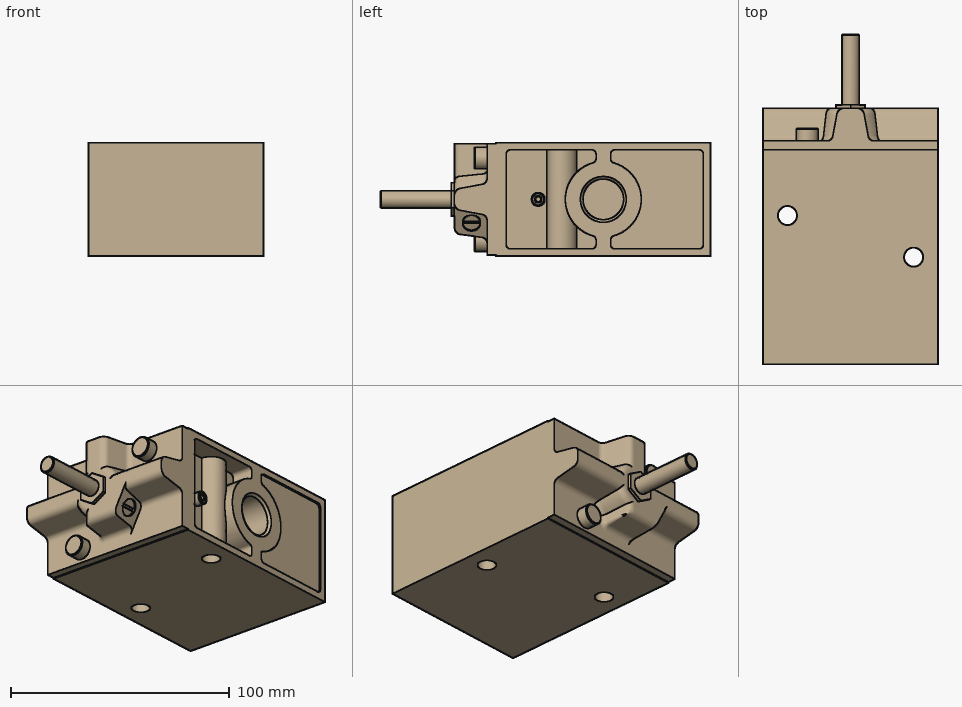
import cadquery as cq
import math

body_width = 80.0
body_length = 98.2
body_height = 52.0
total_length = 151.0

wall = 3.3
web_end_wall = 4.7
web_width = 6.6
web_y = 49.0
pocket_height = body_height - 2 * wall
pocket_corner_radius = 2.0
deep_pocket_depth = 11.2
shallow_pocket_depth = 0.9

ring_diameter = 34.7
bore_diameter = 18.5
bore_depth = 27.2
bore_chamfer = 1.2

hole_diameter = 8.6
hole_x = 28.8
left_hole_y = 68.1
tube_diameter = 13.7

pin_y = 78.8
pin_diameter = 6.2
pin_bore_diameter = 2.4
pin_length = 4.1
pin_chamfer = 0.5

flange_thickness = 4.1
cover_height = 51.0
rib_height = 15.0
rib_draft = 10.5
tip_radius = 3.3
root_radius = 2.7
side_rib_half_width = 4.5
top_rib_half_width = 5.7
hub_tip_radius = 11.8

block_draft = 7.5
block_bottom_z = -15.7
block_slant = 28.0
earth_screw_x = -14.3
earth_screw_y = 109.3
earth_screw_z = -10.9
earth_screw_diameter = 8.2
earth_recess = 0.9
earth_slot_width = 1.2
earth_slot_depth = 1.0

cover_screw_x = 19.8
cover_screw_z = 18.9
cover_screw_diameter = 10.0
cover_screw_height = 5.9
screw_chamfer = 0.5

nut_across_corners = 15.4
nut_thickness = 1.5
cable_diameter = 8.0

flange_y = body_length + flange_thickness
rib_tip_y = flange_y + rib_height
left_face_x = -body_width / 2


def cylinder_along_y(x, z, start_y, length, diameter):
    plane = cq.Plane(origin=(x, start_y, z), xDir=(1, 0, 0), normal=(0, 1, 0))
    return cq.Workplane(plane).circle(diameter / 2).extrude(length)


def cylinder_along_x(start_x, y, length, diameter):
    return cq.Workplane("YZ", origin=(start_x, y, 0)).circle(diameter / 2).extrude(length)


def side_pocket(start_y, end_y, depth):
    """Pocket in the -X face that stops at the round boss of the bore."""
    pocket = cq.Workplane("XY").box(depth, end_y - start_y, pocket_height)
    pocket = pocket.translate((left_face_x + depth / 2, (start_y + end_y) / 2, 0))
    pocket = pocket.cut(cylinder_along_x(left_face_x, web_y, depth, ring_diameter))
    return pocket.edges("|X").fillet(pocket_corner_radius)


def make_body():
    body = cq.Workplane("XY").box(body_width, body_length, body_height)
    body = body.translate((0, body_length / 2, 0))

    web_near = web_y - web_width / 2
    web_far = web_y + web_width / 2
    body = body.cut(side_pocket(wall, web_near, shallow_pocket_depth))
    body = body.cut(side_pocket(web_far, body_length - web_end_wall, deep_pocket_depth))

    tube = cq.Workplane("XY").center(-hole_x, left_hole_y).circle(tube_diameter / 2)
    body = body.union(tube.extrude(pocket_height / 2, both=True))

    hole_places = [(-hole_x, left_hole_y), (hole_x, web_y)]
    holes = cq.Workplane("XY").pushPoints(hole_places).circle(hole_diameter / 2)
    body = body.cut(holes.extrude(body_height, both=True))

    bore = cylinder_along_x(left_face_x, web_y, bore_depth, bore_diameter)
    mouth = cq.Solid.makeCone(
        bore_diameter / 2 + bore_chamfer,
        bore_diameter / 2,
        bore_chamfer,
        pnt=cq.Vector(left_face_x, web_y, 0),
        dir=cq.Vector(1, 0, 0),
    )
    body = body.cut(bore).cut(cq.Workplane(mouth))

    floor_x = left_face_x + deep_pocket_depth
    pin = cylinder_along_x(floor_x - pin_length, pin_y, pin_length, pin_diameter)
    pin = pin.cut(cylinder_along_x(floor_x - pin_length, pin_y, pin_length, pin_bore_diameter))
    return body.union(pin.faces("<X").edges().chamfer(pin_chamfer))


def tip_plane():
    return cq.Workplane("XZ", origin=(0, rib_tip_y, 0))


def rib_outline(low_x, high_x, low_z, high_z):
    corners = [(low_x, low_z), (high_x, low_z), (high_x, high_z), (low_x, high_z)]
    return tip_plane().polyline(corners).close()


def drafted_rib(tip_outline, draft):
    """Rib with the given X-Z outline at its tip, growing wider towards the flange."""
    return tip_outline.extrude(rib_height, taper=-draft)


def rooted_on_flange(rib):
    """Round the tip of a rib and blend its root into an oversize flange."""
    rib = rib.faces(">Y").edges().fillet(tip_radius)
    slab = cq.Workplane("XY").box(3 * body_width, flange_thickness, 3 * body_height)
    rib = rib.union(slab.translate((0, body_length + flange_thickness / 2, 0)))
    slab_top = rib.faces("+Y").faces("<Y").val()
    root_edges = slab_top.innerWires()[0].Edges()
    return rib.newObject(root_edges).fillet(root_radius)


def make_earth_block():
    """Block below the side rib, cut off by a slanted face with a recessed slotted screw."""
    block = rib_outline(left_face_x, top_rib_half_width, block_bottom_z, 0)
    block = rooted_on_flange(drafted_rib(block, block_draft))

    slant = math.radians(block_slant)
    outward = cq.Vector(-math.cos(slant), 0, -math.sin(slant))
    face = cq.Plane((earth_screw_x, flange_y, earth_screw_z), xDir=(0, 1, 0), normal=outward)
    cutoff = cq.Workplane(face).center(rib_height, 0).rect(2 * rib_height, body_width)
    block = block.cut(cutoff.extrude(body_width))

    seat = cq.Workplane(face).center(earth_screw_y - flange_y, 0)
    block = block.cut(seat.circle(earth_screw_diameter / 2).extrude(-earth_recess))
    slot = seat.rect(earth_screw_diameter, earth_slot_width).extrude(-earth_recess - earth_slot_depth)
    return block.cut(slot)


def make_cover():
    side_rib = rib_outline(-body_width, body_width, -side_rib_half_width, side_rib_half_width)
    top_rib = rib_outline(-top_rib_half_width, top_rib_half_width, 0, body_height)
    hub = tip_plane().circle(hub_tip_radius)
    cover = make_earth_block()
    for tip_outline in (side_rib, top_rib, hub):
        cover = cover.union(rooted_on_flange(drafted_rib(tip_outline, rib_draft)))

    limits = cq.Workplane("XY").box(body_width, total_length, cover_height)
    cover = cover.intersect(limits.translate((0, total_length / 2, 0)))

    for side in (-1, 1):
        screw = cylinder_along_y(
            side * cover_screw_x, -side * cover_screw_z, flange_y, cover_screw_height, cover_screw_diameter
        )
        cover = cover.union(screw.faces(">Y").chamfer(screw_chamfer))
    return cover


def make_cable_outlet():
    nut = cq.Workplane("XZ", origin=(0, rib_tip_y + nut_thickness, 0))
    nut = nut.transformed(rotate=(0, 0, 90)).polygon(6, nut_across_corners).extrude(nut_thickness)
    cable = cylinder_along_y(0, 0, rib_tip_y, total_length - rib_tip_y, cable_diameter)
    return nut.union(cable.faces(">Y").chamfer(screw_chamfer))


result = make_body().union(make_cover()).union(make_cable_outlet())